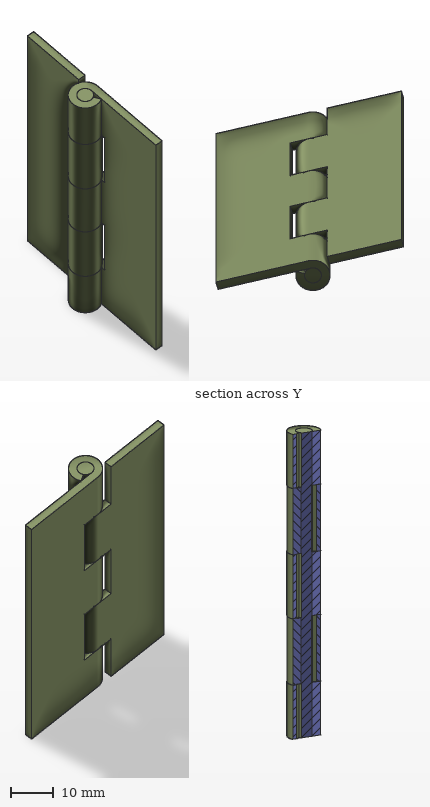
import cadquery as cq
import math

hinge_width = 45.0
hinge_height = 75.0
knuckle_diameter = 8.0
leaf_thickness = 2.0
end_knuckle_height = 13.35
inner_knuckle_height = 16.3
leaf_setback = 4.5
curl_end_angle = 29.0

leaf_reach = hinge_width / 2
outer_radius = knuckle_diameter / 2
pin_radius = outer_radius - leaf_thickness
middle_knuckle_height = hinge_height - 2 * (end_knuckle_height + inner_knuckle_height)

knuckle_heights = [
    end_knuckle_height,
    inner_knuckle_height,
    middle_knuckle_height,
    inner_knuckle_height,
    end_knuckle_height,
]
knuckle_spans = []
knuckle_base = -hinge_height / 2
for knuckle_height in knuckle_heights:
    knuckle_spans.append((knuckle_base, knuckle_height))
    knuckle_base += knuckle_height


def polar_point(radius, angle):
    """Point in the XY plane around the pin axis, angle in degrees."""
    return (radius * math.cos(math.radians(angle)), radius * math.sin(math.radians(angle)))


def make_knuckle(base, height):
    """Strip that leaves the leaf at its setback edge and curls around the pin."""
    curl_middle_angle = (90 + 360 + curl_end_angle) / 2
    return (
        cq.Workplane("XY", origin=(0, 0, base))
        .moveTo(leaf_setback, outer_radius)
        .lineTo(0, outer_radius)
        .threePointArc(
            polar_point(outer_radius, curl_middle_angle),
            polar_point(outer_radius, curl_end_angle),
        )
        .lineTo(*polar_point(pin_radius, curl_end_angle))
        .threePointArc(polar_point(pin_radius, curl_middle_angle), (0, pin_radius))
        .lineTo(leaf_setback, pin_radius)
        .close()
        .extrude(height)
    )


def make_leaf(spans):
    """Leaf on the +X side: flat plate with one curled knuckle per span."""
    leaf = cq.Workplane("XY").box(
        leaf_reach - leaf_setback, leaf_thickness, hinge_height, centered=(False, False, True)
    )
    leaf = leaf.translate((leaf_setback, pin_radius, 0))
    for base, height in spans:
        leaf = leaf.union(make_knuckle(base, height))
    return leaf.clean()


def make_pin():
    """Plain pin, flush with both ends of the hinge."""
    return cq.Workplane("XY", origin=(0, 0, -hinge_height / 2)).circle(pin_radius).extrude(hinge_height)


right_leaf = make_leaf(knuckle_spans[0::2])
left_leaf = make_leaf(knuckle_spans[1::2]).mirror("YZ")
pin = make_pin()

result = cq.Compound.makeCompound([right_leaf.val(), left_leaf.val(), pin.val()])